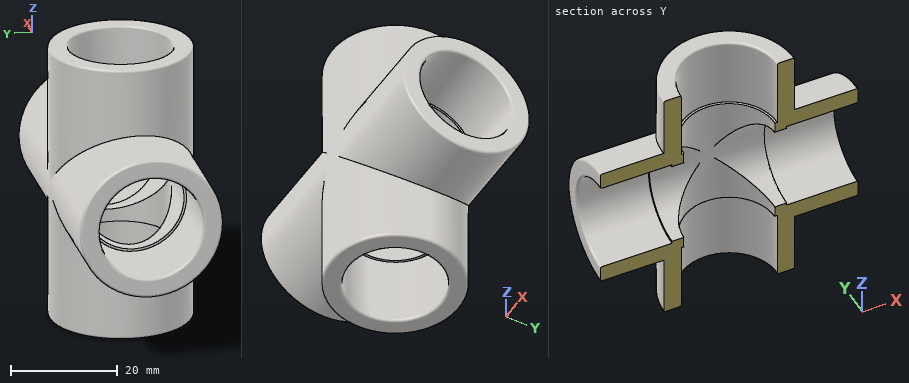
import cadquery as cq
import math

overall_length = 54.0
outer_diameter = 27.5
socket_diameter = 20.0
bore_diameter = 19.0
socket_depth = 15.0
rim_fillet = 0.55
mouth_fillet = 0.55

half_length = overall_length / 2
outer_radius = outer_diameter / 2
socket_radius = socket_diameter / 2
bore_radius = bore_diameter / 2


def run_body():
    """Solid cylinder along Z with rounded end edges."""
    cylinder = cq.Workplane("XY").circle(outer_radius).extrude(half_length, both=True)
    return cylinder.faces("|Z").edges().fillet(rim_fillet)


def half_cavity():
    """Upper half of a run's cavity along Z: narrow bore, wider socket, rounded mouth."""
    step_height = half_length - socket_depth
    fillet_height = half_length - mouth_fillet
    mouth_radius = socket_radius + mouth_fillet
    arc_offset = mouth_fillet * math.sqrt(0.5)
    profile = (
        cq.Workplane("XZ")
        .moveTo(0, 0)
        .lineTo(bore_radius, 0)
        .lineTo(bore_radius, step_height)
        .lineTo(socket_radius, step_height)
        .lineTo(socket_radius, fillet_height)
        .threePointArc(
            (mouth_radius - arc_offset, fillet_height + arc_offset),
            (mouth_radius, half_length),
        )
        .lineTo(0, half_length)
        .close()
    )
    return profile.revolve(360, (0, 0), (0, 1))


def run_cavity():
    """Through bore along Z with a wider socket at both ends."""
    upper_half = half_cavity()
    return upper_half.union(upper_half.mirror("XY"))


def along_x(shape):
    """Turn a run from the Z axis onto the X axis."""
    return shape.rotate((0, 0, 0), (0, 1, 0), 90)


body = run_body().union(along_x(run_body()))
result = body.cut(run_cavity()).cut(along_x(run_cavity()))